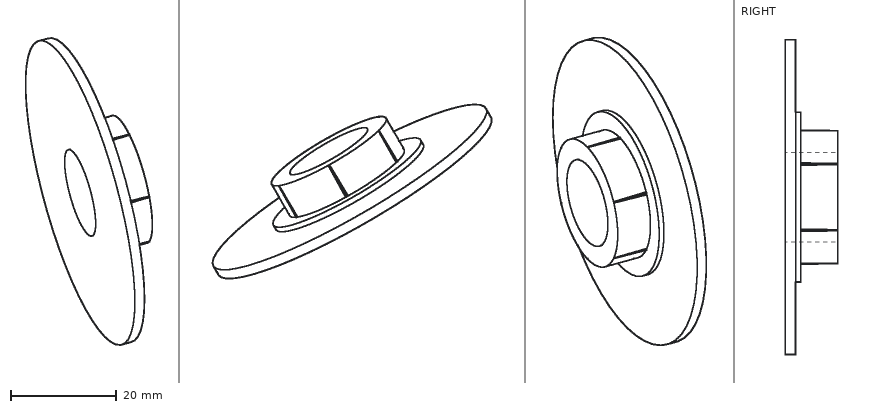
import cadquery as cq

disc_diameter = 60.0
total_depth = 10.0
disc_thickness = 2.0
shoulder_diameter = 32.4
shoulder_thickness = 1.0
hub_diameter = 25.2
bore_diameter = 17.05

rib_count = 6
rib_root_width = 0.55
rib_tip_width = 0.25
rib_root_height = 0.2
rib_tip_height = 0.05
rib_embed = 0.3

hub_radius = hub_diameter / 2
shoulder_top = disc_thickness + shoulder_thickness
hub_length = total_depth - shoulder_top


def cylinder(diameter, start, length):
    """Cylinder along +Y from the plane Y = start."""
    plane = cq.Plane(origin=(0, start, 0), xDir=(1, 0, 0), normal=(0, 1, 0))
    return cq.Workplane(plane).circle(diameter / 2).extrude(length)


def rib_section(width, height, y):
    """Pointed rib outline in the plane Y = y, at the +Z side of the hub."""
    base = hub_radius - rib_embed
    points = [
        (-width / 2, y, base),
        (width / 2, y, base),
        (width / 2, y, hub_radius),
        (0, y, hub_radius + height),
        (-width / 2, y, hub_radius),
    ]
    return cq.Wire.makePolygon([cq.Vector(*point) for point in points], close=True)


def tapered_rib():
    root = rib_section(rib_root_width, rib_root_height, shoulder_top)
    tip = rib_section(rib_tip_width, rib_tip_height, total_depth)
    return cq.Workplane(obj=cq.Solid.makeLoft([root, tip], True))


result = cylinder(disc_diameter, 0, disc_thickness)
result = result.union(cylinder(shoulder_diameter, disc_thickness, shoulder_thickness))
result = result.union(cylinder(hub_diameter, shoulder_top, hub_length))

rib = tapered_rib()
for index in range(rib_count):
    angle = index * 360 / rib_count
    result = result.union(rib.rotate((0, 0, 0), (0, 1, 0), angle))

result = result.cut(cylinder(bore_diameter, 0, total_depth))